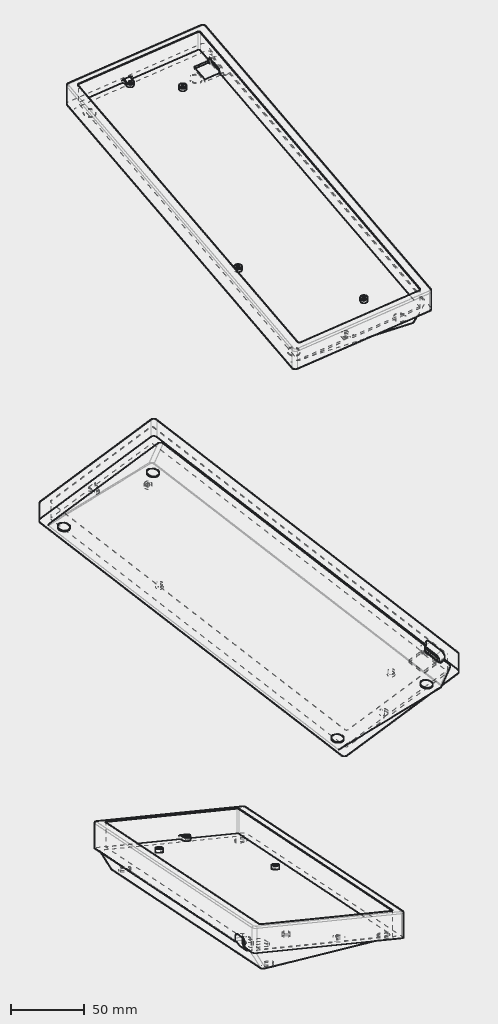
import cadquery as cq
import math

length = 296.7
width = 110.0
total_height = 32.5
tray_height = 18.7
corner_radius = 2.7
rim_radius = 1.2

side_wall = 5.0
front_back_wall = 6.8
floor_thickness = 1.2
cavity_corner_radius = 1.2
inner_rim_chamfer = 0.3

wedge_height = total_height - tray_height
wedge_side_inset = 7.5
wedge_heel_inset = 9.5
slope_angle = 8.1
heel_angle = 58.5
wedge_corner_radius = 2.5
wedge_sole_radius = 0.5

foot_diameter = 8.5
foot_depth = 1.0
foot_x = 132.3
foot_end_inset = 7.0

post_diameter = 5.3
post_height = 3.0
post_chamfer = 0.45
screw_hole_diameter = 1.63
free_post_points = [(-117.5, 19.3), (117.5, 19.3), (48.0, -38.0)]
wall_post_x = 139.2
wall_post_y = -9.2
web_flare_radius = 1.5

port_center_x = -124.0
port_width = 14.0
port_pocket_front_y = 36.5
port_pocket_depth = 2.0
port_window_height = 5.0
port_corner_radius = 1.5
port_web_thickness = 1.8
plug_recess_margin = 2.0

back_y = width / 2
cavity_length = length - 2 * side_wall
cavity_width = width - 2 * front_back_wall
cavity_back_y = cavity_width / 2

slope = math.radians(slope_angle)
heel = math.radians(heel_angle)
heel_overshoot = wedge_sole_radius * (math.cos((heel - slope) / 2) / math.cos((heel + slope) / 2) - 1)
sharp_height = wedge_height + heel_overshoot
heel_y = back_y - wedge_heel_inset
wedge_front_y = heel_y - sharp_height / math.tan(slope)
wedge_back_y = heel_y + sharp_height / math.tan(heel)
slope_length = sharp_height / math.sin(slope)


def make_tray():
    tray = cq.Workplane("XY").box(length, width, tray_height, centered=(True, True, False))
    tray = tray.edges("|Z").fillet(corner_radius)
    return tray.faces(">Z").edges().fillet(rim_radius)


def make_cavity():
    depth = tray_height - floor_thickness
    return (
        cq.Workplane("XY", origin=(0, 0, floor_thickness))
        .box(cavity_length, cavity_width, depth, centered=(True, True, False))
        .edges("|Z")
        .fillet(cavity_corner_radius)
    )


def make_wedge():
    profile = [(wedge_front_y, 0), (heel_y, -sharp_height), (wedge_back_y, 0)]
    wedge = (
        cq.Workplane("YZ")
        .polyline(profile)
        .close()
        .extrude(length / 2 - wedge_side_inset, both=True)
    )
    wedge = wedge.faces("<X or >X").edges(">Y").fillet(wedge_corner_radius)
    sole = wedge.faces("<Y")
    return sole.edges("not <Y").fillet(wedge_sole_radius)


def make_feet():
    sole = cq.Workplane("XY", origin=(0, wedge_front_y, 0)).transformed(rotate=(-slope_angle, 0, 0))
    points = [
        (x, y)
        for x in (-foot_x, foot_x)
        for y in (foot_end_inset, slope_length - foot_end_inset)
    ]
    return sole.pushPoints(points).circle(foot_diameter / 2).extrude(foot_depth)


def make_wall_web(floor, side):
    """Web from a wall post into the wall, flared where it meets the wall; side is -1 or 1."""
    half_web = post_diameter / 2
    wall_x = cavity_length / 2
    flare_x = wall_x - web_flare_radius
    half_flare = half_web + web_flare_radius
    buried_x = wall_x + side_wall / 2
    arc_reach = web_flare_radius * math.sqrt(0.5)
    arc_x = flare_x + arc_reach
    half_arc = half_flare - arc_reach

    def place(x, y):
        return side * x, wall_post_y + y

    return (
        floor.moveTo(*place(wall_post_x, half_web))
        .lineTo(*place(flare_x, half_web))
        .threePointArc(place(arc_x, half_arc), place(wall_x, half_flare))
        .lineTo(*place(buried_x, half_flare))
        .lineTo(*place(buried_x, -half_flare))
        .lineTo(*place(wall_x, -half_flare))
        .threePointArc(place(arc_x, -half_arc), place(flare_x, -half_web))
        .lineTo(*place(wall_post_x, -half_web))
        .close()
        .extrude(post_height)
    )


def make_posts():
    floor = cq.Workplane("XY", origin=(0, 0, floor_thickness))
    points = free_post_points + [(side * wall_post_x, wall_post_y) for side in (-1, 1)]
    posts = floor.pushPoints(points).circle(post_diameter / 2).extrude(post_height)
    for side in (-1, 1):
        posts = posts.union(make_wall_web(floor, side))
    posts = posts.faces(">Z").edges().chamfer(post_chamfer)
    holes = floor.pushPoints(points).circle(screw_hole_diameter / 2).extrude(post_height)
    return posts.cut(holes)


def make_port():
    bottom_z = floor_thickness - port_pocket_depth
    pocket_length = cavity_back_y - port_pocket_front_y
    pocket = (
        cq.Workplane("XY", origin=(port_center_x, port_pocket_front_y, bottom_z))
        .box(port_width, pocket_length, port_pocket_depth, centered=(True, False, False))
    )

    window_center = (port_center_x, cavity_back_y, bottom_z + port_window_height / 2)
    window_plane = cq.Workplane(cq.Plane(origin=window_center, xDir=(1, 0, 0), normal=(0, -1, 0)))
    window = (
        window_plane.rect(port_width, port_window_height)
        .extrude(-front_back_wall)
        .edges("|Y")
        .fillet(port_corner_radius)
    )
    recess = (
        window_plane.workplane(offset=-port_web_thickness)
        .rect(port_width + 2 * plug_recess_margin, port_window_height + 2 * plug_recess_margin)
        .extrude(-front_back_wall)
        .edges("|Y")
        .fillet(port_corner_radius + plug_recess_margin)
    )
    return pocket.union(window).union(recess)


def break_inner_rim(body):
    """Chamfer the edge between the top of the rim and the cavity walls."""
    rim_top = body.faces(">Z")
    return body.newObject(rim_top.val().innerWires()[0].Edges()).chamfer(inner_rim_chamfer)


body = make_tray().union(make_wedge()).cut(make_cavity())
body = break_inner_rim(body)
result = body.union(make_posts()).cut(make_feet()).cut(make_port())